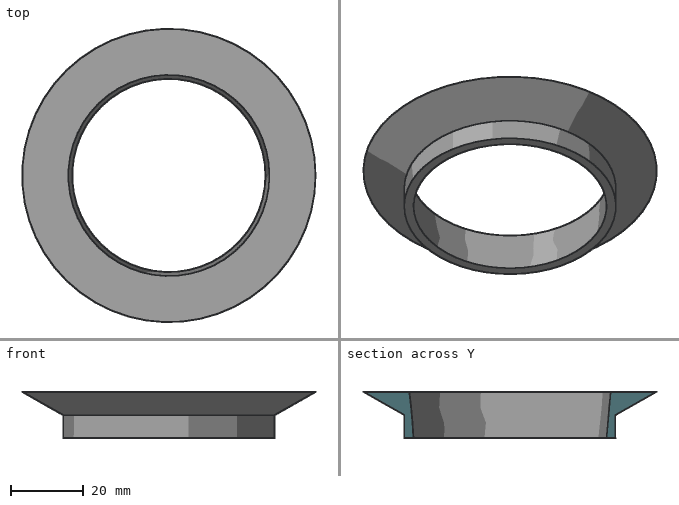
import cadquery as cq

rim_diameter = 80.8
total_height = 12.7

collar_diameter = 58.2
collar_height = 6.3

bore_top_diameter = 55.3
bore_bottom_diameter = 53.1

half_section = (
    cq.Workplane("XZ")
    .moveTo(bore_bottom_diameter / 2, 0)
    .lineTo(collar_diameter / 2, 0)
    .lineTo(collar_diameter / 2, collar_height)
    .lineTo(rim_diameter / 2, total_height)
    .lineTo(bore_top_diameter / 2, total_height)
    .close()
)

result = half_section.revolve(360, (0, 0, 0), (0, 1, 0))